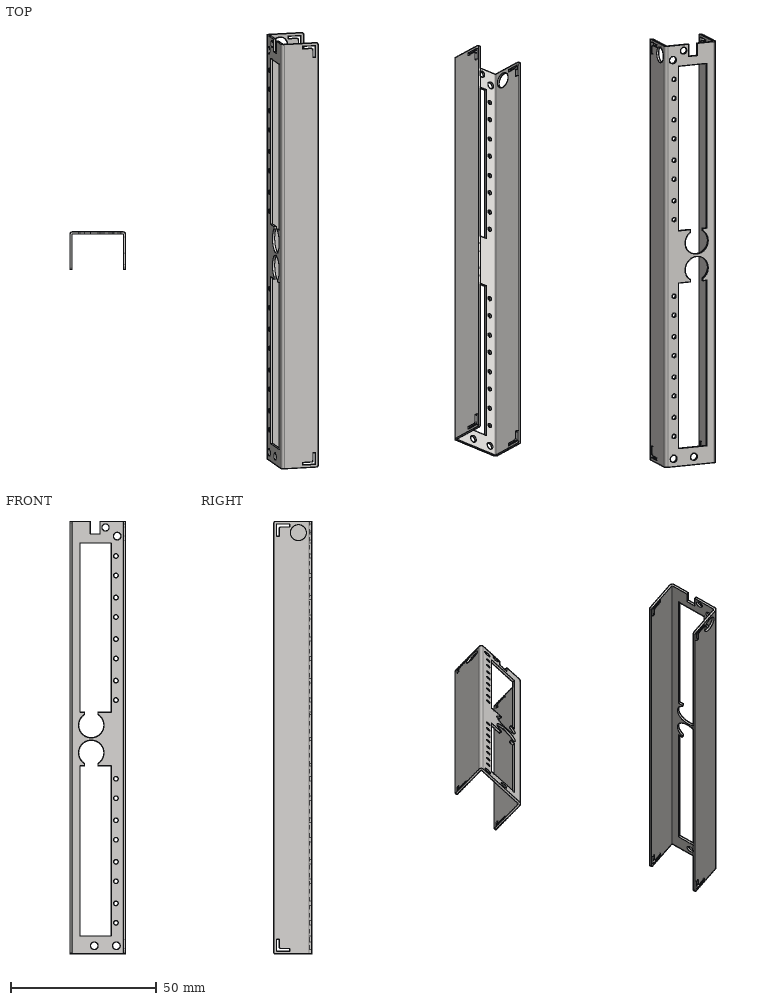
import cadquery as cq

width = 19.2
depth = 13.1
length = 148.8
thickness = 0.8
inner_bend_radius = 0.2
outer_bend_radius = inner_bend_radius + thickness
flange_corner_radius = 0.6

half_width = width / 2
web_back = depth / 2
flange_edge = -depth / 2

window_left = -6.1
window_right = 4.6
upper_window_top = length - 7.5
lower_window_bottom = 6.2
web_middle = 74.0
window_inner_offset = 9.2
keyhole_x = -2.2
keyhole_diameter = 8.6
keyhole_offset = 4.8
neck_width = 4.6

notch_left = -2.5
notch_right = 0.7
notch_depth = 4.3

small_hole_diameter = 1.5
small_hole_x = 6.2
pair_spacing = 6.7
pair_pitch = 14.3
pairs_per_row = 4
row_tops = (136.9, 60.3)
top_hole_diameter = 2.4
top_hole_position = (2.7, length - 2.1)
mounting_hole_diameter = 2.5
mounting_hole_positions = [(6.7, length - 5.0), (-1.2, 2.8), (6.4, 2.8)]

slot_margin = 0.97
slot_width = 0.9
slot_reach_y = 5.5
slot_reach_z = 5.0
slot_bend_radius = 0.6
side_hole_diameter = 5.5
side_hole_y = web_back - 4.6
side_hole_z = length - 3.9


def box(x_range, y_range, z_range):
    """Box spanning the given (low, high) ranges."""
    ranges = (x_range, y_range, z_range)
    sizes = [high - low for low, high in ranges]
    corner = tuple(low for low, high in ranges)
    return cq.Workplane("XY").box(*sizes, centered=False).translate(corner)


def web_box(x_range, z_range):
    """Rectangular cutter through the web only."""
    return box(x_range, (web_back - outer_bend_radius, web_back), z_range)


def web_holes(positions, diameter):
    """Round cutters through the web at (x, z) positions."""
    return (
        cq.Workplane("XZ", origin=(0, web_back, 0))
        .pushPoints(positions)
        .circle(diameter / 2)
        .extrude(outer_bend_radius)
    )


def channel():
    """Bent U-section with rounded corners on the free flange edges."""
    outer = box((-half_width, half_width), (flange_edge, web_back), (0, length))
    outer = outer.edges("|Z and >Y").fillet(outer_bend_radius)
    outer = outer.edges("|X and <Y").fillet(flange_corner_radius)
    inner_half = half_width - thickness
    inner = box((-inner_half, inner_half), (flange_edge, web_back - thickness), (0, length))
    inner = inner.edges("|Z and >Y").fillet(inner_bend_radius)
    return outer.cut(inner)


def small_hole_positions():
    """Two rows of hole pairs, each row listed downward from its top hole."""
    return [
        (small_hole_x, row_top - pair * pair_pitch - step)
        for row_top in row_tops
        for pair in range(pairs_per_row)
        for step in (0, pair_spacing)
    ]


def keyhole_window(direction, window_end):
    """Window whose inner end opens through a neck into a round hole.

    direction is +1 for the upper window and -1 for the lower one.
    """
    inner_end = web_middle + direction * window_inner_offset
    hole_z = web_middle + direction * keyhole_offset
    window = web_box((window_left, window_right), sorted((inner_end, window_end)))
    neck_x = (keyhole_x - neck_width / 2, keyhole_x + neck_width / 2)
    neck = web_box(neck_x, sorted((hole_z, inner_end)))
    return window.union(neck).union(web_holes([(keyhole_x, hole_z)], keyhole_diameter))


def corner_slot(end_z, inward):
    """L-shaped slot through both flanges, following the free corner at end_z.

    inward is the Z direction pointing from that end into the part.
    """
    near_y = flange_edge + slot_margin
    near_z = end_z + inward * slot_margin
    x_range = (-half_width, half_width)
    leg_along_y = box(
        x_range,
        (near_y, flange_edge + slot_reach_y),
        sorted((near_z, near_z + inward * slot_width)),
    )
    leg_along_z = box(
        x_range,
        (near_y, near_y + slot_width),
        sorted((near_z, end_z + inward * slot_reach_z)),
    )
    slot = leg_along_y.union(leg_along_z)
    bend_corner = (0, near_y + slot_width, near_z + inward * slot_width)
    return slot.edges(cq.NearestToPointSelector(bend_corner)).fillet(slot_bend_radius)


def side_hole():
    """Round cutter through the +X flange only."""
    return (
        cq.Workplane("YZ", origin=(half_width - thickness, 0, 0))
        .center(side_hole_y, side_hole_z)
        .circle(side_hole_diameter / 2)
        .extrude(thickness)
    )


result = (
    channel()
    .cut(keyhole_window(1, upper_window_top))
    .cut(keyhole_window(-1, lower_window_bottom))
    .cut(web_box((notch_left, notch_right), (length - notch_depth, length)))
    .cut(web_holes(small_hole_positions(), small_hole_diameter))
    .cut(web_holes([top_hole_position], top_hole_diameter))
    .cut(web_holes(mounting_hole_positions, mounting_hole_diameter))
    .cut(corner_slot(0, 1))
    .cut(corner_slot(length, -1))
    .cut(side_hole())
)